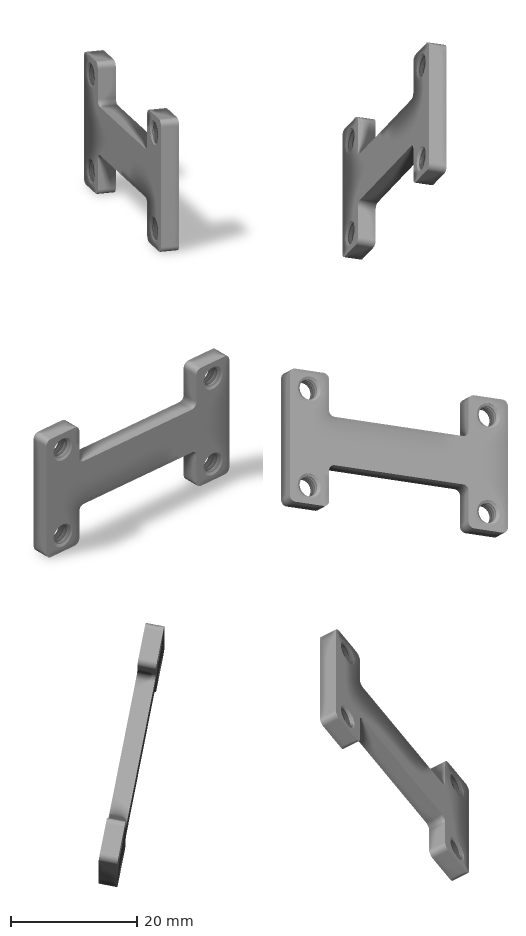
import cadquery as cq

length = 39.0
thickness = 3.0
height = 22.0
arm_width = 7.02
web_height = 8.0
corner_radius = 0.98

hole_spacing_x = 32.0
hole_spacing_z = 16.0
minor_diameter = 3.25
major_diameter = 4.0
minor_radius = minor_diameter / 2
major_radius = major_diameter / 2
chamfer_depth = 0.25
pitch = 0.7
crest_flat = pitch / 4
root_flat = pitch / 8
groove_overlap = 0.08
groove_start_angle = 120
thread_phase = 240


def make_plate():
    """H-shaped plate: two full-height arms joined by a central web."""
    notch_width = length - 2 * arm_width
    notch_height = (height - web_height) / 2
    notch_offset = (web_height + notch_height) / 2
    plate = cq.Workplane("XY").box(length, thickness, height)
    notch = cq.Workplane("XY").box(notch_width, thickness, notch_height)
    for side in (-1, 1):
        plate = plate.cut(notch.translate((0, 0, side * notch_offset)))
    return plate.edges("|Y").fillet(corner_radius)


def make_bore():
    """Bore along Z at the minor diameter, opening out to the major diameter at both faces."""
    half = thickness / 2
    return (
        cq.Workplane("XZ")
        .moveTo(0, -half)
        .lineTo(major_radius, -half)
        .lineTo(minor_radius, -half + chamfer_depth)
        .lineTo(minor_radius, half - chamfer_depth)
        .lineTo(major_radius, half)
        .lineTo(0, half)
        .close()
        .revolve(360, (0, 0), (0, 1))
    )


def make_thread_groove():
    """Right-handed helical groove along Z that runs out past both ends of the bore."""
    flank_slope = (pitch - crest_flat - root_flat) / 2 / (major_radius - minor_radius)
    inner_radius = minor_radius - groove_overlap
    inner_half = (pitch - crest_flat) / 2 + flank_slope * groove_overlap
    groove_length = thickness + 2 * pitch
    helix = cq.Wire.makeHelix(pitch, groove_length, minor_radius)
    return (
        cq.Workplane("XZ")
        .moveTo(inner_radius, -inner_half)
        .lineTo(major_radius, -root_flat / 2)
        .lineTo(major_radius, root_flat / 2)
        .lineTo(inner_radius, inner_half)
        .close()
        .sweep(cq.Workplane(obj=helix), isFrenet=True)
        .translate((0, 0, -groove_length / 2))
        .rotate((0, 0, 0), (0, 0, 1), groove_start_angle)
    )


def along_y(cutter):
    """Turn a hole cutter to the thread's phase, then lay its axis along Y."""
    return cutter.rotate((0, 0, 0), (0, 0, 1), thread_phase).rotate((0, 0, 0), (1, 0, 0), 90)


plate = make_plate()
for cutter in (along_y(make_bore()), along_y(make_thread_groove())):
    for side_x in (-1, 1):
        for side_z in (-1, 1):
            centre = (side_x * hole_spacing_x / 2, 0, side_z * hole_spacing_z / 2)
            plate = plate.cut(cutter.translate(centre))

result = plate.solids()